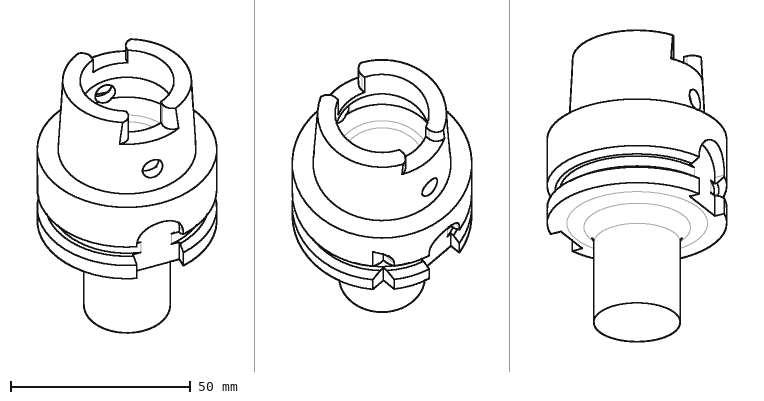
import cadquery as cq
import math

TOTAL_HEIGHT = 81.9
TAPER_LENGTH = 25.0
SHANK_HEIGHT = 24.8
NECK_HEIGHT = 29.65
FLANGE_BOTTOM = 30.9
RIM_TOP = 35.7
GROOVE_BOTTOM = 37.2
GROOVE_TOP = 40.95
GROOVE_CHAMFER = GROOVE_BOTTOM - RIM_TOP
FLANGE_TOP = TOTAL_HEIGHT - TAPER_LENGTH

SHANK_RADIUS = 12.0
NECK_RADIUS = 14.8
NECK_FILLET = 5.4
COLLAR_RADIUS = 19.6
FLANGE_RADIUS = 25.0
GROOVE_MOUTH_RADIUS = 22.8
GROOVE_RADIUS = 21.45
TAPER_BASE_RADIUS = 19.2
TAPER_RATIO = 1 / 10
TAPER_TOP_RADIUS = TAPER_BASE_RADIUS - TAPER_LENGTH * TAPER_RATIO / 2

LIP_RADIUS = 13.0
LIP_BOTTOM = 72.1
UNDERCUT_RADIUS = 16.05
UNDERCUT_TOP = 70.35
UNDERCUT_BOTTOM = 62.25
FLOOR_HEIGHT = FLANGE_TOP
FLOOR_FILLET = 2.0
FLOOR_CONE_ANGLE = math.radians(60)

SLOT_WIDTH = 10.5
SLOT_DEPTH_MINUS_X = 4.6
SLOT_DEPTH_PLUS_X = 7.6
LUG_END_X = 16.05
LUG_END_RADIUS = 3.0
LUG_FLARE_ANGLE = math.radians(45)

CROSS_HOLE_DIAMETER = 6.0
CROSS_HOLE_HEIGHT = 64.5

NOTCH_TOP = 49.95
NOTCH_FLOOR_X = 21.0
NOTCH_WIDTH_MINUS_X = 11.95
NOTCH_WIDTH_PLUS_X = 14.0
SIDE_NOTCH_FLOOR_X = 15.6
SIDE_NOTCH_EDGE_Y = 15.3
SIDE_NOTCH_WIDTH = NOTCH_WIDTH_MINUS_X


def outer_body():
    """Shank, filleted neck, grooved flange and taper as one revolved solid."""
    return (
        cq.Workplane("XZ")
        .lineTo(SHANK_RADIUS, 0)
        .lineTo(SHANK_RADIUS, SHANK_HEIGHT)
        .radiusArc((NECK_RADIUS, NECK_HEIGHT), NECK_FILLET)
        .lineTo(COLLAR_RADIUS, FLANGE_BOTTOM)
        .lineTo(FLANGE_RADIUS, FLANGE_BOTTOM)
        .lineTo(FLANGE_RADIUS, RIM_TOP)
        .lineTo(GROOVE_MOUTH_RADIUS, GROOVE_BOTTOM)
        .lineTo(GROOVE_RADIUS, GROOVE_BOTTOM)
        .lineTo(GROOVE_RADIUS, GROOVE_TOP)
        .lineTo(GROOVE_MOUTH_RADIUS, GROOVE_TOP)
        .lineTo(FLANGE_RADIUS, GROOVE_TOP + GROOVE_CHAMFER)
        .lineTo(FLANGE_RADIUS, FLANGE_TOP)
        .lineTo(TAPER_BASE_RADIUS, FLANGE_TOP)
        .lineTo(TAPER_TOP_RADIUS, TOTAL_HEIGHT)
        .lineTo(0, TOTAL_HEIGHT)
        .close()
        .revolve(360, (0, 0), (0, 1))
    )


def bore():
    """Lip bore, undercut, and a cone blending through a fillet into a flat floor."""
    cone_foot_height = FLOOR_HEIGHT + FLOOR_FILLET * (1 - math.cos(FLOOR_CONE_ANGLE))
    cone_foot_radius = UNDERCUT_RADIUS - (UNDERCUT_BOTTOM - cone_foot_height) / math.tan(FLOOR_CONE_ANGLE)
    floor_radius = cone_foot_radius - FLOOR_FILLET * math.sin(FLOOR_CONE_ANGLE)
    return (
        cq.Workplane("XZ")
        .moveTo(0, FLOOR_HEIGHT)
        .lineTo(floor_radius, FLOOR_HEIGHT)
        .radiusArc((cone_foot_radius, cone_foot_height), -FLOOR_FILLET)
        .lineTo(UNDERCUT_RADIUS, UNDERCUT_BOTTOM)
        .lineTo(UNDERCUT_RADIUS, UNDERCUT_TOP)
        .lineTo(LIP_RADIUS, LIP_BOTTOM)
        .lineTo(LIP_RADIUS, TOTAL_HEIGHT)
        .lineTo(0, TOTAL_HEIGHT)
        .close()
        .revolve(360, (0, 0), (0, 1))
    )


def drive_slot(side, depth):
    """Open slot on one X side (side = 1 or -1), flared outward by the round lug ends."""
    half_width = SLOT_WIDTH / 2
    arc_x = LUG_END_X - LUG_END_RADIUS
    arc_y = half_width + LUG_END_RADIUS
    flare_x = arc_x + LUG_END_RADIUS * math.cos(LUG_FLARE_ANGLE)
    flare_y = arc_y + LUG_END_RADIUS * math.sin(LUG_FLARE_ANGLE)
    return (
        cq.Workplane("XY", origin=(0, 0, TOTAL_HEIGHT - depth))
        .moveTo(0, -half_width)
        .lineTo(side * arc_x, -half_width)
        .threePointArc((side * LUG_END_X, -arc_y), (side * flare_x, -flare_y))
        .lineTo(side * FLANGE_RADIUS, -flare_y)
        .lineTo(side * FLANGE_RADIUS, flare_y)
        .lineTo(side * flare_x, flare_y)
        .threePointArc((side * LUG_END_X, arc_y), (side * arc_x, half_width))
        .lineTo(0, half_width)
        .close()
        .extrude(depth)
    )


def cross_hole():
    """Round hole through both walls of the taper, along X."""
    return (
        cq.Workplane("YZ", origin=(0, 0, CROSS_HOLE_HEIGHT))
        .circle(CROSS_HOLE_DIAMETER / 2)
        .extrude(FLANGE_RADIUS, both=True)
    )


def rim_notch(side, floor_x, center_y, width):
    """Round-topped notch with a flat floor, open outward and at the flange bottom."""
    radius = width / 2
    spring_height = NOTCH_TOP - radius
    return (
        cq.Workplane("YZ", origin=(side * floor_x, 0, 0))
        .moveTo(center_y - radius, FLANGE_BOTTOM)
        .lineTo(center_y - radius, spring_height)
        .threePointArc((center_y, NOTCH_TOP), (center_y + radius, spring_height))
        .lineTo(center_y + radius, FLANGE_BOTTOM)
        .close()
        .extrude(side * FLANGE_RADIUS)
    )


side_notch_center_y = SIDE_NOTCH_EDGE_Y + SIDE_NOTCH_WIDTH / 2

result = (
    outer_body()
    .cut(bore())
    .cut(drive_slot(-1, SLOT_DEPTH_MINUS_X))
    .cut(drive_slot(1, SLOT_DEPTH_PLUS_X))
    .cut(cross_hole())
    .cut(rim_notch(-1, NOTCH_FLOOR_X, 0, NOTCH_WIDTH_MINUS_X))
    .cut(rim_notch(1, NOTCH_FLOOR_X, 0, NOTCH_WIDTH_PLUS_X))
    .cut(rim_notch(-1, SIDE_NOTCH_FLOOR_X, side_notch_center_y, SIDE_NOTCH_WIDTH))
)